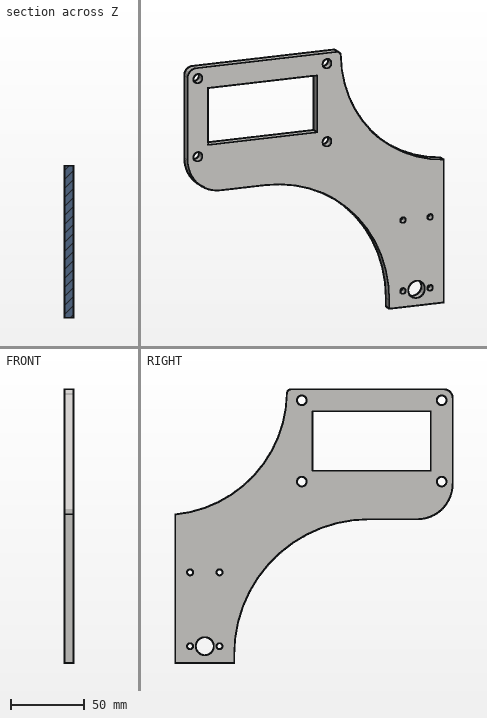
import cadquery as cq
import math

thickness = 6.4
length = 188.0
height = 185.5

head_height = 88.2
head_width = 112.5
head_bottom = height - head_height
back_top_radius = 6.0
back_bottom_radius = 24.0
front_top_radius = 3.0

leg_width = 40.0
leg_front_height = 100.8

lower_arc_radius = 91.2
upper_arc_radius = 83.7

window_length = 79.9
window_height = 40.0
window_inset = 15.0
head_hole_diameter = 6.4
head_hole_inset = 7.5
head_hole_spacing_y = 94.8
head_hole_spacing_z = 55.0

leg_center_y = leg_width / 2
shaft_diameter = 12.0
shaft_z = 11.5
leg_hole_diameter = 4.0
leg_hole_spacing_y = 20.0
leg_hole_spacing_z = 50.0


def arc_middle(start, end, radius, side):
    """Midpoint of a minor arc; side is 1 to bulge left of start-to-end, -1 right."""
    dy = end[0] - start[0]
    dz = end[1] - start[1]
    chord = math.hypot(dy, dz)
    rise = radius - math.sqrt(radius**2 - (chord / 2) ** 2)
    return (
        (start[0] + end[0]) / 2 - side * rise * dz / chord,
        (start[1] + end[1]) / 2 + side * rise * dy / chord,
    )


def make_plate():
    """Plate with its front edge on Y = 0, its foot on Z = 0 and rounded head corners."""
    leg_arc_end = (leg_width, head_bottom - lower_arc_radius)
    head_arc_end = (leg_width + lower_arc_radius, head_bottom)
    leg_top = (0, leg_front_height)
    head_front_top = (length - head_width, height)
    plate = (
        cq.Workplane("YZ")
        .moveTo(0, 0)
        .lineTo(leg_width, 0)
        .lineTo(*leg_arc_end)
        .threePointArc(arc_middle(leg_arc_end, head_arc_end, lower_arc_radius, 1), head_arc_end)
        .lineTo(length, head_bottom)
        .lineTo(length, height)
        .lineTo(*head_front_top)
        .threePointArc(arc_middle(head_front_top, leg_top, upper_arc_radius, 1), leg_top)
        .close()
        .extrude(thickness)
    )
    corners = (
        (length, height, back_top_radius),
        (length, head_bottom, back_bottom_radius),
        (*head_front_top, front_top_radius),
    )
    for y, z, radius in corners:
        corner_edge = cq.selectors.NearestToPointSelector((thickness / 2, y, z))
        plate = plate.edges("|X").edges(corner_edge).fillet(radius)
    return plate


def hole_pattern(center_y, center_z, spacing_y, spacing_z, diameter):
    """Four cutters on the corners of a rectangle."""
    return (
        cq.Workplane("YZ")
        .center(center_y, center_z)
        .rect(spacing_y, spacing_z, forConstruction=True)
        .vertices()
        .circle(diameter / 2)
        .extrude(thickness)
    )


window = (
    cq.Workplane("YZ")
    .center(length - window_inset - window_length / 2, height - window_inset - window_height / 2)
    .rect(window_length, window_height)
    .extrude(thickness)
)
head_holes = hole_pattern(
    length - head_hole_inset - head_hole_spacing_y / 2,
    height - head_hole_inset - head_hole_spacing_z / 2,
    head_hole_spacing_y,
    head_hole_spacing_z,
    head_hole_diameter,
)
leg_holes = hole_pattern(
    leg_center_y,
    shaft_z + leg_hole_spacing_z / 2,
    leg_hole_spacing_y,
    leg_hole_spacing_z,
    leg_hole_diameter,
)
shaft_hole = (
    cq.Workplane("YZ").center(leg_center_y, shaft_z).circle(shaft_diameter / 2).extrude(thickness)
)

result = make_plate().cut(window).cut(head_holes).cut(leg_holes).cut(shaft_hole)